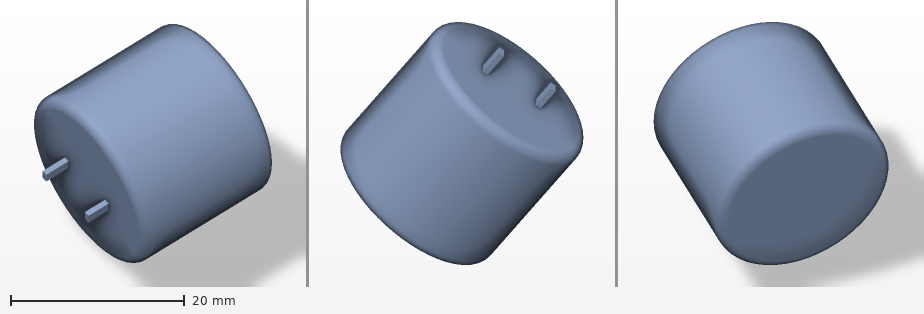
import cadquery as cq

can_diameter = 22.0
overall_length = 22.3
long_pin_length = 3.3
short_pin_length = 2.99
edge_radius = 1.25

pin_width = 0.7
pin_height = 1.3
pin_spacing = 7.63

can_length = overall_length - long_pin_length


def make_can():
    """Solid can from its front face at Y = 0 back to +Y, both rims rounded."""
    can = cq.Workplane("XZ").circle(can_diameter / 2).extrude(-can_length)
    return can.edges("%CIRCLE").fillet(edge_radius)


def make_pin(x_centre, length):
    """Rectangular pin standing out of the front face towards -Y."""
    return cq.Workplane("XZ").center(x_centre, 0).rect(pin_width, pin_height).extrude(length)


result = (
    make_can()
    .union(make_pin(-pin_spacing / 2, long_pin_length))
    .union(make_pin(pin_spacing / 2, short_pin_length))
)